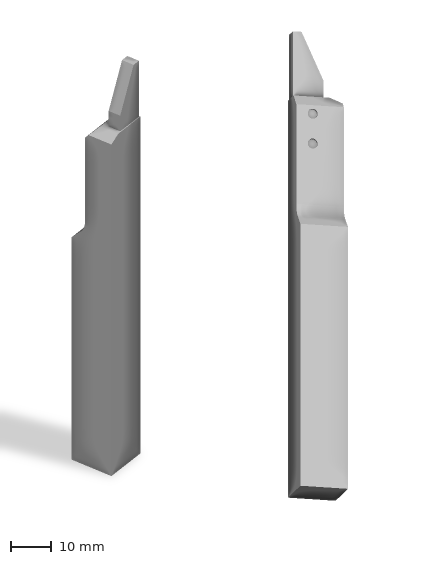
import cadquery as cq
import math

bar_width = 12.0
holder_height = 100.0
step_depth = 4.0
step_bottom_z = 66.0
step_angle = math.radians(45)
step_radius = 5.0
side_bevel_width = 2.6
side_bevel_height = 2.85
front_bevel_depth = 2.85
front_bevel_height = 1.6

blade_top_z = 116.6
blade_thickness = 3.5
blade_depth = 7.75
blade_inset = 0.25
blade_tip_depth = 2.2
blade_slant_height = 12.0
blade_bottom_z = 80.0

pin_diameter = 2.5
pin_recess = 0.7
pin_setback = 4.15
pin_heights = (95.0, 87.5)

blade_right_x = bar_width - blade_inset
blade_left_x = blade_right_x - blade_thickness
blade_back_y = bar_width - blade_inset
blade_front_y = blade_back_y - blade_depth
pin_y = bar_width - pin_setback


def pin_cylinder(start_x, axis_z):
    """Cylinder along +X from start_x to the blade face."""
    return (
        cq.Workplane("YZ", origin=(start_x, pin_y, axis_z))
        .circle(pin_diameter / 2)
        .extrude(blade_left_x - start_x)
    )


def make_pin(axis_z):
    return pin_cylinder(step_depth + pin_recess, axis_z)


def make_blade():
    outline = [
        (blade_front_y, blade_bottom_z),
        (blade_back_y, blade_bottom_z),
        (blade_back_y, blade_top_z),
        (blade_back_y - blade_tip_depth, blade_top_z),
        (blade_front_y, blade_top_z - blade_slant_height),
    ]
    return (
        cq.Workplane("YZ", origin=(blade_left_x, 0, 0))
        .polyline(outline)
        .close()
        .extrude(blade_thickness)
    )


def make_bar():
    """Bar profile in XZ: straight ramp, tangent arc, thinned head and side bevel."""
    arc_width = step_radius * (1 - math.cos(step_angle))
    ramp_width = step_depth - arc_width
    ramp_top_z = step_bottom_z + ramp_width / math.tan(step_angle)
    arc_top_z = ramp_top_z + step_radius * math.sin(step_angle)
    half_angle = step_angle / 2
    arc_middle = (
        step_depth - step_radius * (1 - math.cos(half_angle)),
        arc_top_z - step_radius * math.sin(half_angle),
    )
    return (
        cq.Workplane("XZ")
        .moveTo(0, 0)
        .lineTo(0, step_bottom_z)
        .lineTo(ramp_width, ramp_top_z)
        .threePointArc(arc_middle, (step_depth, arc_top_z))
        .lineTo(step_depth, holder_height - side_bevel_height)
        .lineTo(step_depth + side_bevel_width, holder_height)
        .lineTo(bar_width, holder_height)
        .lineTo(bar_width, 0)
        .close()
        .extrude(-bar_width)
    )


def make_front_bevel():
    """Wedge removed from the top edge of the -Y face."""
    return (
        cq.Workplane("YZ")
        .moveTo(0, holder_height)
        .lineTo(front_bevel_depth, holder_height)
        .lineTo(0, holder_height - front_bevel_height)
        .close()
        .extrude(bar_width)
    )


def make_holder(blade):
    holder = make_bar().cut(make_front_bevel()).cut(blade)
    for axis_z in pin_heights:
        holder = holder.cut(pin_cylinder(step_depth, axis_z))
    return holder


blade = make_blade()
holder = make_holder(blade)
pins = [make_pin(axis_z) for axis_z in pin_heights]

result = cq.Compound.makeCompound([holder.val(), blade.val(), *[pin.val() for pin in pins]])